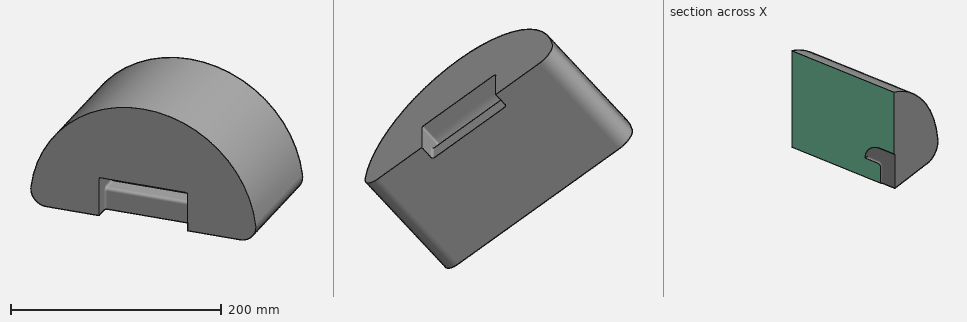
import cadquery as cq
import math

width = 230.5
depth = 120.0
height = 120.0
corner_radius = 16.1

recess_width = 90.8
recess_height = 40.0
recess_depth = 16.1
ledge_height = 22.0
ledge_radius = 3.0
edge_radius = 2.3


def make_body():
    """Extrude a dome outline whose arc runs tangent into two rounded bottom corners."""
    corner_x = width / 2 - corner_radius
    rise = height - 2 * corner_radius
    center_distance = (corner_x**2 + rise**2) / (2 * rise)
    dome_radius = center_distance + corner_radius
    dome_center_z = height - dome_radius

    along_x = corner_x / center_distance
    along_z = (corner_radius - dome_center_z) / center_distance
    tangent_x = dome_radius * along_x
    tangent_z = dome_center_z + dome_radius * along_z
    middle_angle = (math.atan2(along_z, along_x) - math.pi / 2) / 2
    middle_x = corner_x + corner_radius * math.cos(middle_angle)
    middle_z = corner_radius + corner_radius * math.sin(middle_angle)

    return (
        cq.Workplane("XZ")
        .moveTo(-corner_x, 0)
        .lineTo(corner_x, 0)
        .threePointArc((middle_x, middle_z), (tangent_x, tangent_z))
        .threePointArc((0, height), (-tangent_x, tangent_z))
        .threePointArc((-middle_x, middle_z), (-corner_x, 0))
        .close()
        .extrude(-depth)
    )


def make_recess():
    """Grip pocket, open to the front and below, with a hollow reaching back over a ledge."""
    vault_radius = recess_height - ledge_height
    vault_diagonal = vault_radius * math.sqrt(0.5)
    back_y = recess_depth + vault_radius
    ledge_diagonal = ledge_radius * math.sqrt(0.5)
    pocket = (
        cq.Workplane("YZ")
        .moveTo(0, 0)
        .lineTo(recess_depth, 0)
        .lineTo(recess_depth, ledge_height - ledge_radius)
        .threePointArc(
            (recess_depth + ledge_radius - ledge_diagonal, ledge_height - ledge_radius + ledge_diagonal),
            (recess_depth + ledge_radius, ledge_height),
        )
        .lineTo(back_y, ledge_height)
        .threePointArc(
            (recess_depth + vault_diagonal, ledge_height + vault_diagonal),
            (recess_depth, recess_height),
        )
        .lineTo(0, recess_height)
        .close()
        .extrude(recess_width / 2, both=True)
    )
    ends = pocket.faces("<X or >X").edges("not(<Y or <Z)")
    return ends.fillet(edge_radius)


result = make_body().cut(make_recess())